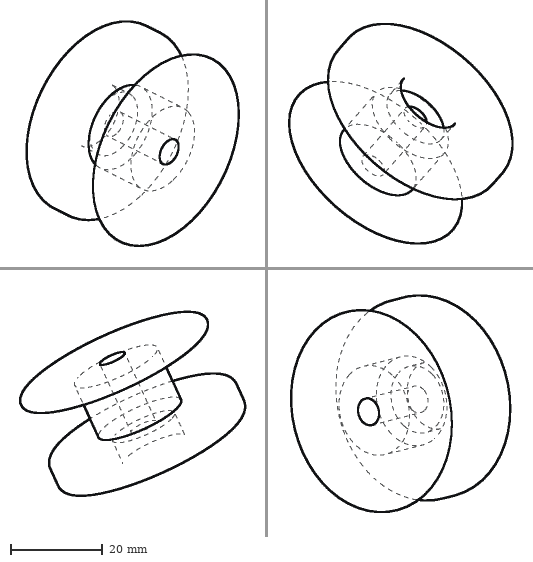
import cadquery as cq

flange_diameter = 45.0
hub_diameter = 20.0
bore_diameter = 6.0
recess_diameter = 15.0

overall_length = 23.0
thick_flange_width = 8.0
thin_flange_width = 2.0
thick_flange_fillet = 2.0
recess_depth = 6.0
recess_lip_fillet = 0.5


def disc(start_x, length, diameter):
    """Solid cylinder along +X, starting at start_x."""
    return cq.Workplane("YZ", origin=(start_x, 0, 0)).circle(diameter / 2).extrude(length)


def thick_flange():
    """Wide flange with both rim edges rounded."""
    return disc(0, thick_flange_width, flange_diameter).edges().fillet(thick_flange_fillet)


def thin_flange():
    """Narrow flange with a fully rounded (semicircular) rim."""
    inner_x = overall_length - thin_flange_width
    rim_radius = thin_flange_width / 2
    flat_radius = flange_diameter / 2 - rim_radius
    return (
        cq.Workplane("XY")
        .moveTo(inner_x, 0)
        .lineTo(inner_x, flat_radius)
        .threePointArc((inner_x + rim_radius, flange_diameter / 2), (overall_length, flat_radius))
        .lineTo(overall_length, 0)
        .close()
        .revolve(360, (0, 0, 0), (1, 0, 0))
    )


hub = disc(0, overall_length, hub_diameter)
spool = thick_flange().union(hub).union(thin_flange())

spool = spool.cut(disc(0, recess_depth, recess_diameter))
smallest_edge = cq.selectors.RadiusNthSelector(0)
spool = spool.faces("<X").edges(smallest_edge).fillet(recess_lip_fillet)

result = spool.cut(disc(0, overall_length, bore_diameter))